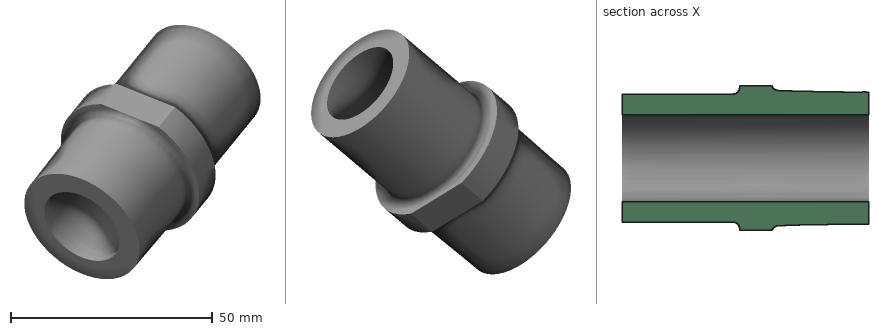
import cadquery as cq

length = 61.5
collar_diameter = 39.65
across_flats = 36.1
bore_diameter = 21.6

straight_diameter = 32.0
taper_end_diameter = 33.0
taper_root_diameter = 33.8

front_end = -length / 2
back_end = length / 2
collar_front = front_end + 24.1
collar_width = 8.2
collar_back = collar_front + collar_width
fillet_radius = 1.5


def make_turned_body():
    """Revolve the half section of the bored spigots and collar about Y."""
    bore_radius = bore_diameter / 2
    collar_radius = collar_diameter / 2
    straight_radius = straight_diameter / 2
    taper_root_radius = taper_root_diameter / 2

    section = (
        cq.Workplane("XY")
        .moveTo(bore_radius, front_end)
        .lineTo(taper_end_diameter / 2, front_end)
        .lineTo(taper_root_radius, collar_front)
        .lineTo(collar_radius, collar_front)
        .lineTo(collar_radius, collar_back)
        .lineTo(straight_radius, collar_back)
        .lineTo(straight_radius, back_end)
        .lineTo(bore_radius, back_end)
        .close()
    )
    return section.revolve(360, (0, 0, 0), (0, 1, 0))


def spigot_root_edge(body, diameter, station):
    """Select the circle where a spigot meets its collar face."""
    radius = diameter / 2
    margin = 0.05
    corner = (radius + margin, station + margin, radius + margin)
    opposite = (-radius - margin, station - margin, -radius - margin)
    return body.edges(cq.selectors.BoxSelector(opposite, corner, boundingbox=True))


flats_envelope = cq.Workplane("XY").box(collar_diameter, length, across_flats)
body = make_turned_body().intersect(flats_envelope)

body = spigot_root_edge(body, taper_root_diameter, collar_front).fillet(fillet_radius)
result = spigot_root_edge(body, straight_diameter, collar_back).fillet(fillet_radius)